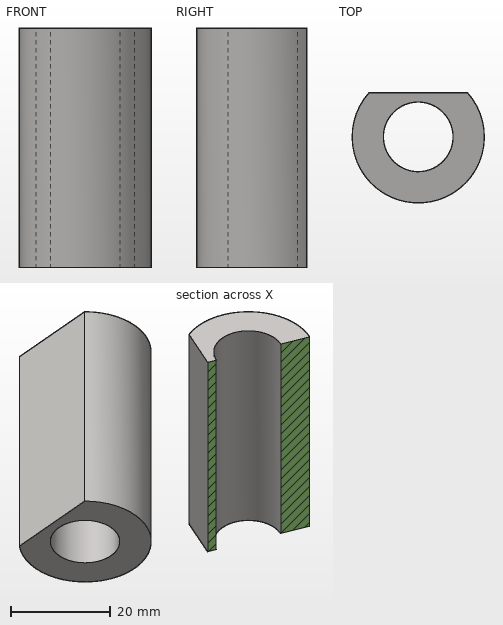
import cadquery as cq

length = 48.25
outer_diameter = 26.7
bore_diameter = 14.0
depth_across_flat = 22.25

outer_radius = outer_diameter / 2
flat_y = depth_across_flat - outer_radius


def make_flat_cutter():
    """Block that removes everything beyond the flat on the +Y side."""
    return (
        cq.Workplane("XY")
        .center(0, flat_y)
        .rect(outer_diameter, outer_diameter)
        .extrude(length)
        .translate((0, outer_radius, 0))
    )


body = cq.Workplane("XY").circle(outer_radius).extrude(length)
body = body.cut(make_flat_cutter())

bore = cq.Workplane("XY").circle(bore_diameter / 2).extrude(length)
result = body.cut(bore)